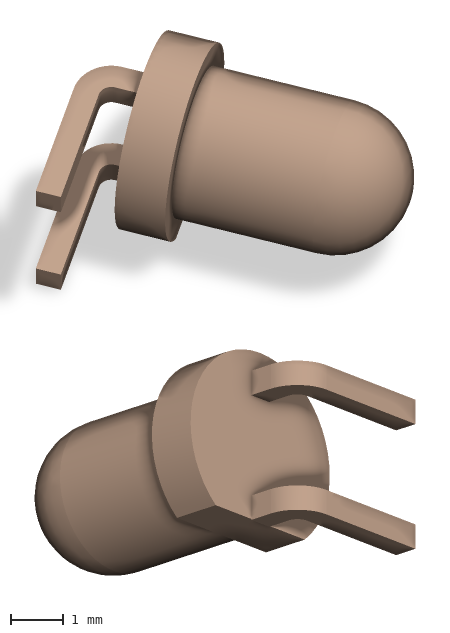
import cadquery as cq

total_length = 6.55

lens_radius = 1.5
flange_radius = 1.95
flange_thickness = 1.0
flange_back = 1.25
flat_depth = 1.5
dome_start = total_length - lens_radius

lead_width = 0.5
lead_pitch = 2.54
lead_reach = 3.0
bend_inner_radius = 0.25
bend_outer_radius = bend_inner_radius + lead_width


def make_flange():
    """Round flange with one flat on its underside."""
    disc = cq.Workplane("YZ", origin=(flange_back, 0, 0)).circle(flange_radius).extrude(flange_thickness)
    keep_height = flange_radius + flat_depth
    keep = cq.Workplane("XY", origin=(flange_back, 0, -flat_depth)).box(
        flange_thickness, 2 * flange_radius, keep_height, centered=(False, True, False)
    )
    return disc.intersect(keep)


def make_lens():
    """Cylindrical lens ending in a hemispherical dome."""
    return (
        cq.Workplane("XY")
        .moveTo(flange_back, 0)
        .lineTo(flange_back, lens_radius)
        .lineTo(dome_start, lens_radius)
        .radiusArc((total_length, 0), lens_radius)
        .close()
        .revolve(360, (0, 0, 0), (1, 0, 0))
    )


def make_lead(z_center):
    """Lead that leaves the flange along -X and bends to -Y."""
    half_width = lead_width / 2
    bend_center_y = half_width - bend_outer_radius
    return (
        cq.Workplane("XY", origin=(0, 0, z_center - half_width))
        .moveTo(flange_back, half_width)
        .lineTo(bend_outer_radius, half_width)
        .radiusArc((0, bend_center_y), -bend_outer_radius)
        .lineTo(0, -lead_reach)
        .lineTo(lead_width, -lead_reach)
        .lineTo(lead_width, bend_center_y)
        .radiusArc((bend_outer_radius, -half_width), bend_inner_radius)
        .lineTo(flange_back, -half_width)
        .close()
        .extrude(lead_width)
    )


result = make_flange().union(make_lens())
for side in (-1, 1):
    result = result.union(make_lead(side * lead_pitch / 2))